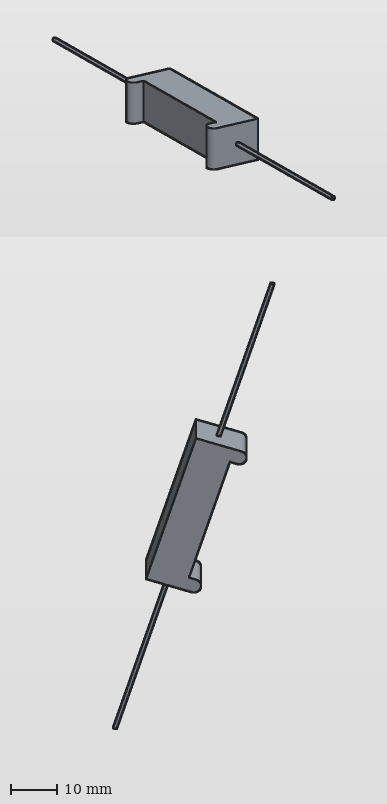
import cadquery as cq

body_length = 35.32
body_height = 9.525
body_depth = 8.731
foot_width = 3.175
foot_reach = 3.175
foot_tip_radius = foot_width / 2

lead_length = 38.1
lead_diameter = 0.9
lead_to_back = 5.159

half_length = body_length / 2
back_y = lead_to_back
recess_y = back_y - body_depth
foot_tip_y = recess_y - foot_reach
foot_round_y = foot_tip_y + foot_tip_radius
foot_inner_x = half_length - foot_width
foot_centre_x = half_length - foot_tip_radius


def make_body():
    """Block with a round-ended foot at each end of its front face."""
    return (
        cq.Workplane("XY")
        .workplane(offset=-body_height / 2)
        .moveTo(-half_length, back_y)
        .lineTo(-half_length, foot_round_y)
        .threePointArc((-foot_centre_x, foot_tip_y), (-foot_inner_x, foot_round_y))
        .lineTo(-foot_inner_x, recess_y)
        .lineTo(foot_inner_x, recess_y)
        .lineTo(foot_inner_x, foot_round_y)
        .threePointArc((foot_centre_x, foot_tip_y), (half_length, foot_round_y))
        .lineTo(half_length, back_y)
        .close()
        .extrude(body_height)
    )


def make_lead(side):
    """Round wire leaving the end face on the given side (-1 or +1 along X)."""
    return (
        cq.Workplane("YZ")
        .workplane(offset=side * half_length)
        .circle(lead_diameter / 2)
        .extrude(side * lead_length)
    )


result = make_body()
for end_side in (-1, 1):
    result = result.union(make_lead(end_side))